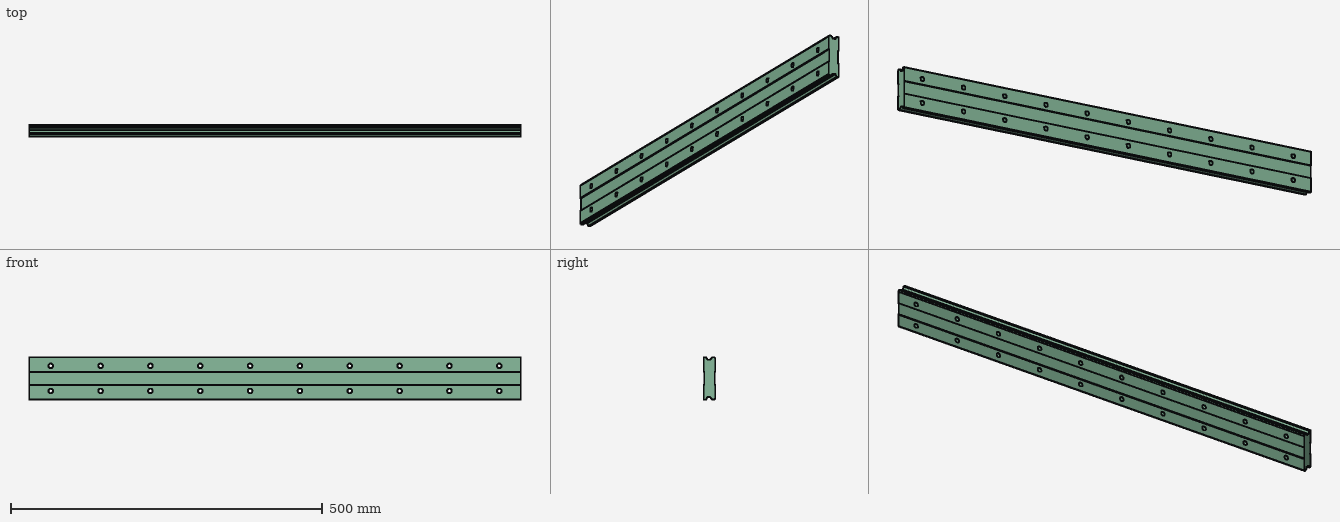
import cadquery as cq

length = 790.0
thickness = 19.0
height = 69.0

groove_depth = 4.35
groove_floor_width = 4.0
groove_offset = -1.2
front_wall_run = 2.0
back_wall_run = 2.6

front_lip_chamfer = 1.0
back_lip_outer_run = 2.0
back_lip_outer_drop = 2.2
back_lip_inner_run = 2.0
back_lip_inner_drop = 1.3

recess_floor_height = 20.5
recess_depth = 1.0
recess_step_rise = 0.6

hole_count = 10
hole_diameter = 7.0
hole_row_spacing = 40.0
hole_end_margin = 35.0

half_length = length / 2
half_thickness = thickness / 2
half_height = height / 2
groove_floor_z = half_height - groove_depth
groove_floor_front = groove_offset - groove_floor_width / 2
groove_floor_back = groove_offset + groove_floor_width / 2
back_wall_top = groove_floor_back + back_wall_run
recess_floor_y = half_thickness - recess_depth
recess_floor_z = recess_floor_height / 2
recess_mouth_z = recess_floor_z + recess_step_rise
hole_pitch = (length - 2 * hole_end_margin) / (hole_count - 1)


def make_bar():
    """Extrude the grooved cross-section, which is symmetric about Z = 0."""
    upper_half = [
        (-recess_floor_y, recess_floor_z),
        (-half_thickness, recess_mouth_z),
        (-half_thickness, half_height - front_lip_chamfer),
        (-half_thickness + front_lip_chamfer, half_height),
        (groove_floor_front - front_wall_run, half_height),
        (groove_floor_front, groove_floor_z),
        (groove_floor_back, groove_floor_z),
        (back_wall_top, half_height - back_lip_inner_drop),
        (back_wall_top + back_lip_inner_run, half_height),
        (half_thickness - back_lip_outer_run, half_height),
        (half_thickness, half_height - back_lip_outer_drop),
        (half_thickness, recess_mouth_z),
        (recess_floor_y, recess_floor_z),
    ]
    lower_half = [(y, -z) for y, z in reversed(upper_half)]
    section = cq.Workplane("YZ").workplane(offset=-half_length).polyline(upper_half + lower_half)
    return section.close().extrude(length)


def make_hole_cutters():
    """Cylinders along Y for both rows of holes."""
    centers = cq.Workplane("XZ").rarray(hole_pitch, hole_row_spacing, hole_count, 2)
    return centers.circle(hole_diameter / 2).extrude(thickness, both=True)


result = make_bar().cut(make_hole_cutters())